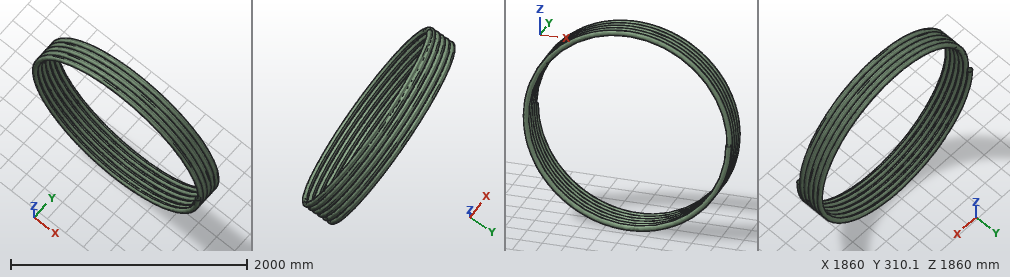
import math

import cadquery as cq

coil_outer_diameter = 1860.0
coil_length = 310.07
tube_diameter = 50.0
wall_thickness = 3.0

flat_end = 0.25
ramp_end = 0.5
total_turns = 5.5
points_per_turn = 24

tube_radius = tube_diameter / 2
bore_radius = tube_radius - wall_thickness
coil_radius = coil_outer_diameter / 2 - tube_radius
ramp_turns = ramp_end - flat_end
full_pitch_turns = total_turns - ramp_end + ramp_turns / 2
pitch = (coil_length - tube_diameter) / full_pitch_turns


def axial_position(turn):
    """Y of the tube centreline after the given number of turns."""
    if turn <= flat_end:
        return 0.0
    if turn <= ramp_end:
        return pitch * (turn - flat_end) ** 2 / (2 * ramp_turns)
    return pitch * (turn - ramp_end + ramp_turns / 2)


def centreline_point(turn):
    """The coil starts at +X and winds through -Z, -X and +Z."""
    angle = 2 * math.pi * turn
    return cq.Vector(
        coil_radius * math.cos(angle),
        axial_position(turn),
        -coil_radius * math.sin(angle),
    )


def make_centreline():
    """One smooth curve along the whole tube."""
    spans = round(total_turns * points_per_turn)
    points = [centreline_point(i / points_per_turn) for i in range(spans + 1)]
    return cq.Workplane(obj=cq.Wire.assembleEdges([cq.Edge.makeSpline(points)]))


def sweep_round_bar(radius, centreline):
    """Solid bar of the given radius along the centreline, its section split at the inner and outer side."""
    section = (
        cq.Workplane("XY")
        .center(coil_radius, 0)
        .moveTo(radius, 0)
        .threePointArc((0, radius), (-radius, 0))
        .threePointArc((0, -radius), (radius, 0))
        .close()
    )
    return section.sweep(centreline, isFrenet=True)


def make_tube():
    """Hollow tube closed directly from its faces, as the first turns run into each other."""
    centreline = make_centreline()
    outer = sweep_round_bar(tube_radius, centreline)
    bore = sweep_round_bar(bore_radius, centreline)
    walls = outer.faces("not %PLANE").vals() + bore.faces("not %PLANE").vals()
    end_discs = zip(outer.faces("%PLANE").vals(), bore.faces("%PLANE").vals())
    end_rings = [
        cq.Face.makeFromWires(disc.outerWire(), [hole.outerWire()])
        for disc, hole in end_discs
    ]
    return cq.Solid.makeSolid(cq.Shell.makeShell(walls + end_rings))


result = cq.Workplane(obj=make_tube())